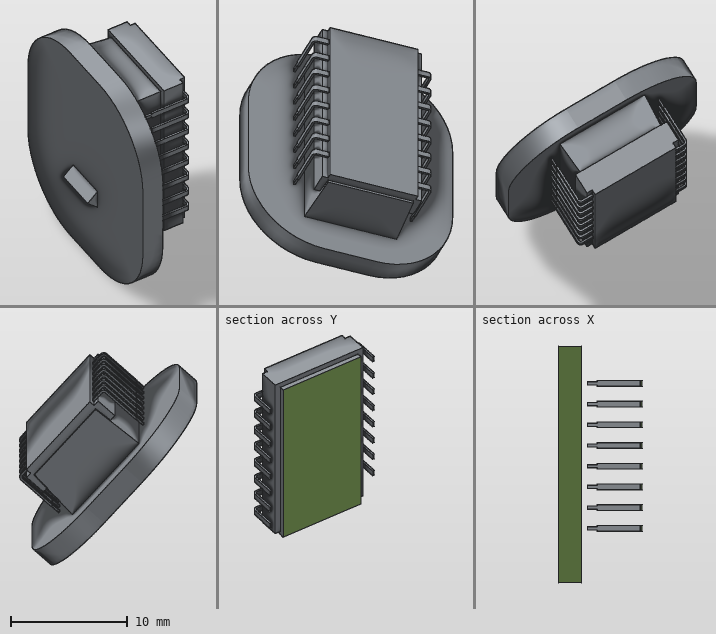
import cadquery as cq
import math

PLATE_WIDTH = 18.85
PLATE_HEIGHT = 21.15
PLATE_THICKNESS = 2.0
PLATE_CORNER_RADIUS = 7.0

RIDGE_LENGTH = 4.0
RIDGE_HEIGHT = 1.82
RIDGE_DEPTH = 1.0
RIDGE_CENTRE_Z = -2.96

STEM_WIDTH = 8.5
STEM_TOP_Z = 8.93
STEM_BOTTOM_Z = -7.57
STEM_LENGTH = 4.72
STEM_DRAFT_ANGLE = 4.0

REAR_Y = 5.5
SOCKET_DEPTH = 2.41
SOCKET_WIDTH = 9.15
SOCKET_TOP_Z = 9.2
SOCKET_BOTTOM_Z = -7.02
SHELF_DEPTH = 0.49
SHELF_SPACING = 8.1

LEADS_PER_SIDE = 8
LEAD_PITCH = 1.78
LEFT_ROW_CENTRE_Z = 0.75
ROW_STAGGER = LEAD_PITCH / 2
LEAD_SPAN = 10.93
LEAD_THICKNESS = 0.2
LEAD_BEND_RADIUS = 0.38
LEAD_WIDTH = 0.5
LEAD_TIP_WIDTH = 0.3
LEAD_TIP_LENGTH = 0.85
LEAD_TIP_GAP = 0.49

SOCKET_FRONT_Y = REAR_Y - SOCKET_DEPTH
SOCKET_HEIGHT = SOCKET_TOP_Z - SOCKET_BOTTOM_Z
SOCKET_CENTRE_Z = (SOCKET_TOP_Z + SOCKET_BOTTOM_Z) / 2
SHELF_Y = REAR_Y - SHELF_DEPTH


def box_between(width, y_front, y_rear, height, centre_x=0.0, centre_z=0.0):
    """Box from y_front to y_rear, centred on (centre_x, centre_z)."""
    depth = y_rear - y_front
    return cq.Workplane("XY").box(width, depth, height).translate((centre_x, y_front + depth / 2, centre_z))


def make_plate():
    plate = box_between(PLATE_WIDTH, -PLATE_THICKNESS, 0, PLATE_HEIGHT)
    return plate.edges("|Y").fillet(PLATE_CORNER_RADIUS)


def make_ridge():
    return (
        cq.Workplane("YZ")
        .moveTo(-PLATE_THICKNESS, RIDGE_CENTRE_Z + RIDGE_HEIGHT / 2)
        .lineTo(-PLATE_THICKNESS - RIDGE_DEPTH, RIDGE_CENTRE_Z)
        .lineTo(-PLATE_THICKNESS, RIDGE_CENTRE_Z - RIDGE_HEIGHT / 2)
        .close()
        .extrude(RIDGE_LENGTH / 2, both=True)
    )


def make_stem():
    inset = STEM_LENGTH * math.tan(math.radians(STEM_DRAFT_ANGLE))
    height = STEM_TOP_Z - STEM_BOTTOM_Z
    return (
        cq.Workplane("XZ")
        .center(0, (STEM_TOP_Z + STEM_BOTTOM_Z) / 2)
        .rect(STEM_WIDTH, height)
        .workplane(offset=-STEM_LENGTH)
        .rect(STEM_WIDTH - 2 * inset, height - 2 * inset)
        .loft(ruled=True)
    )


def make_lead(side, centre_z):
    """One L-shaped lead; side is +1 for the +X row and -1 for the -X row."""
    inner_x = SHELF_SPACING / 2
    outer_x = LEAD_SPAN / 2
    bend_x = outer_x - LEAD_BEND_RADIUS
    back_y = SHELF_Y + LEAD_THICKNESS
    bend_y = back_y - LEAD_BEND_RADIUS
    inner_radius = LEAD_BEND_RADIUS - LEAD_THICKNESS
    diagonal = math.sqrt(0.5)
    lead = (
        cq.Workplane("XY")
        .moveTo(inner_x, back_y)
        .lineTo(bend_x, back_y)
        .threePointArc(
            (bend_x + LEAD_BEND_RADIUS * diagonal, bend_y + LEAD_BEND_RADIUS * diagonal),
            (outer_x, bend_y),
        )
        .lineTo(outer_x, LEAD_TIP_GAP)
        .lineTo(outer_x - LEAD_THICKNESS, LEAD_TIP_GAP)
        .lineTo(outer_x - LEAD_THICKNESS, bend_y)
        .threePointArc(
            (bend_x + inner_radius * diagonal, bend_y + inner_radius * diagonal),
            (bend_x, SHELF_Y),
        )
        .lineTo(inner_x, SHELF_Y)
        .close()
        .extrude(LEAD_WIDTH / 2, both=True)
    )
    trim_height = (LEAD_WIDTH - LEAD_TIP_WIDTH) / 2
    trim_z = (LEAD_WIDTH + LEAD_TIP_WIDTH) / 4
    trim_x = outer_x - LEAD_THICKNESS / 2
    for z in (trim_z, -trim_z):
        lead = lead.cut(
            box_between(LEAD_THICKNESS, LEAD_TIP_GAP, LEAD_TIP_GAP + LEAD_TIP_LENGTH, trim_height, trim_x, z)
        )
    if side < 0:
        lead = lead.mirror("YZ")
    return lead.translate((0, 0, centre_z))


def make_faceplate():
    """Plate, pointer ridge and stem in one piece."""
    return make_plate().union(make_ridge()).union(make_stem())


def make_socket():
    """Block with a recess that fits the stem, and its two rows of leads."""
    socket = box_between(SOCKET_WIDTH, SOCKET_FRONT_Y, SHELF_Y, SOCKET_HEIGHT, centre_z=SOCKET_CENTRE_Z)
    rear = box_between(SHELF_SPACING, SHELF_Y, REAR_Y, SOCKET_HEIGHT, centre_z=SOCKET_CENTRE_Z)
    socket = socket.union(rear).cut(make_stem())
    for side, row_centre_z in ((-1, LEFT_ROW_CENTRE_Z), (1, LEFT_ROW_CENTRE_Z + ROW_STAGGER)):
        for index in range(LEADS_PER_SIDE):
            lead_z = row_centre_z + (index - (LEADS_PER_SIDE - 1) / 2) * LEAD_PITCH
            socket = socket.union(make_lead(side, lead_z))
    return socket


faceplate = make_faceplate()
socket = make_socket()

result = cq.Compound.makeCompound([faceplate.solids().val(), socket.solids().val()])